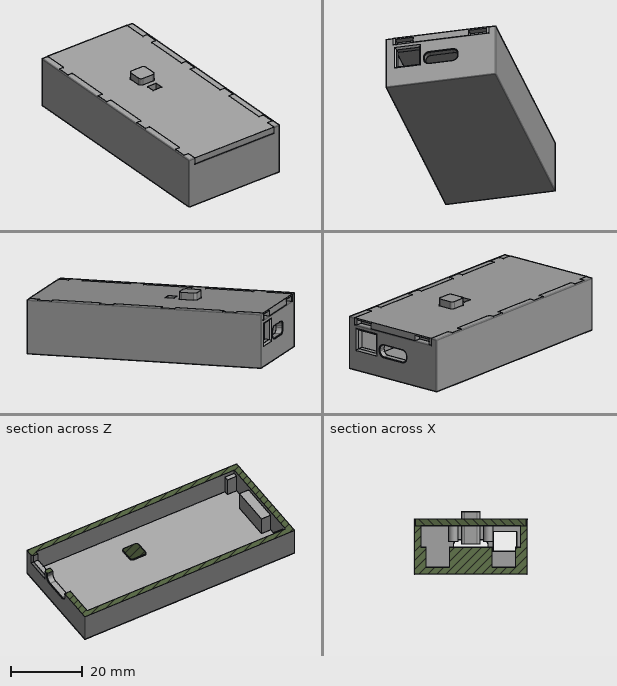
import cadquery as cq

case_length = 68.5
case_width = 31.7
case_height = 15.5
wall = 2.0
edge_radius = 0.2
end_x = case_length / 2
cavity_half_x = end_x - wall
cavity_half_y = case_width / 2 - wall

lid_thickness = 2.0
lid_bottom = case_height - lid_thickness

tab_length = 4.0
tab_reach = 1.5
tab_pitch = 18.0
tab_count = 4
first_tab_offset = 9.5
first_tab_x = first_tab_offset - end_x

pocket_inner_y = 8.0
pocket_outer_y = 13.1
pocket_height = 1.55
pocket_depth = wall

window_width = 6.5
window_height = 5.5
window_y = 9.6
window_z = 9.2
window_chamfer = 0.55

slot_length = 9.6
slot_height = 3.5
slot_z = 7.9
slot_corner = 1.5
slot_chamfer = 0.2

support_top = 7.6
support_length = 3.0
centre_support_width = 12.0
corner_support_width = 1.35

button_x = -8.6
button_size = 5.2
button_corner = 0.85
button_bottom = 8.4
button_top = 17.5
button_clearance = 0.15

light_x = -3.05
light_y = 0.15
light_length = 2.6
light_width = 3.05

post_x = 0.0
post_y = 4.87
post_radius = 1.35
post_bottom = 9.1


def box(x_range, y_range, z_range):
    """Axis-aligned block given by its limits along each axis."""
    limits = (x_range, y_range, z_range)
    sizes = [high - low for low, high in limits]
    lowest_corner = cq.Vector(*[low for low, high in limits])
    return cq.Workplane(cq.Solid.makeBox(*sizes, lowest_corner))


def span(centre, size):
    """Limits of a length centred on a position."""
    return (centre - size / 2, centre + size / 2)


def lid_blank():
    """Lid plate with its tabs, before any openings; also the room it takes up in the case."""
    z_range = (lid_bottom, case_height)
    blank = box((-end_x, end_x), (-cavity_half_y, cavity_half_y), z_range)
    tab_tip_y = cavity_half_y + tab_reach
    for index in range(tab_count):
        tab_x = first_tab_x + index * tab_pitch
        blank = blank.union(box(span(tab_x, tab_length), (-tab_tip_y, tab_tip_y), z_range))
    return blank


def button_column(clearance, bottom, top):
    """Square column with rounded corners at the button, grown outwards by a clearance."""
    size = button_size + 2 * clearance
    column = cq.Workplane("XY", origin=(button_x, 0, bottom)).rect(size, size).extrude(top - bottom)
    return column.edges("|Z").fillet(button_corner + clearance)


def end_wall_plane(y, z):
    """Plane on the outer -X face, with its normal pointing into the case."""
    return cq.Workplane(cq.Plane(origin=(-end_x, y, z), xDir=(0, -1, 0), normal=(1, 0, 0)))


def window_outline(growth):
    """Rectangular outline of the window, grown outwards."""
    plane = end_wall_plane(window_y, window_z)
    return plane.rect(window_width + 2 * growth, window_height + 2 * growth)


def slot_outline(growth):
    """Round-cornered outline of the connector slot, grown outwards."""
    outline = cq.Sketch().rect(slot_length + 2 * growth, slot_height + 2 * growth)
    outline = outline.vertices().fillet(slot_corner + growth)
    return end_wall_plane(0, slot_z).placeSketch(outline)


def flared_opening(outline, chamfer):
    """Opening through the end wall that widens at 45 degrees to its outer mouth."""
    passage = outline(0).extrude(wall)
    mouth = outline(chamfer).extrude(chamfer, taper=45)
    return passage.union(mouth)


def case_shell():
    """Rounded outer block with room for the lid and a cavity below it."""
    lid_y_range = (-cavity_half_y, cavity_half_y)
    shell = cq.Workplane("XY").box(case_length, case_width, case_height, centered=(True, True, False))
    shell = shell.edges().fillet(edge_radius)
    shell = shell.cut(box((-end_x, end_x), lid_y_range, (lid_bottom, case_height)))
    for rim_x in (-end_x, end_x):
        rim = cq.selectors.NearestToPointSelector((rim_x, 0, lid_bottom))
        shell = shell.edges(rim).fillet(edge_radius)
    shell = shell.cut(lid_blank())
    return shell.cut(box((-cavity_half_x, cavity_half_x), lid_y_range, (wall, lid_bottom)))


def floor_supports():
    """One wide support in the middle and a narrow one in each +X corner of the cavity."""
    corner_inner_y = cavity_half_y - corner_support_width
    y_ranges = (
        (-cavity_half_y, -corner_inner_y),
        span(0, centre_support_width),
        (corner_inner_y, cavity_half_y),
    )
    x_range = (cavity_half_x - support_length, cavity_half_x)
    return [box(x_range, y_range, (wall, support_top)) for y_range in y_ranges]


def make_case():
    case = case_shell()
    case = case.cut(flared_opening(window_outline, window_chamfer))
    case = case.cut(flared_opening(slot_outline, slot_chamfer))
    for support in floor_supports():
        case = case.union(support)
    return case


def make_lid():
    lid = lid_blank()

    pocket_x_range = (-end_x, -end_x + pocket_depth)
    pocket_z_range = (lid_bottom, lid_bottom + pocket_height)
    for y_range in ((pocket_inner_y, pocket_outer_y), (-pocket_outer_y, -pocket_inner_y)):
        lid = lid.cut(box(pocket_x_range, y_range, pocket_z_range))

    post_plane = cq.Workplane("XY", origin=(post_x, 0, post_bottom))
    posts = post_plane.pushPoints([(0, -post_y), (0, post_y)]).circle(post_radius)
    lid = lid.union(posts.extrude(lid_bottom - post_bottom))

    lid = lid.cut(button_column(button_clearance, lid_bottom, case_height))
    light_opening = box(span(light_x, light_length), span(light_y, light_width), (lid_bottom, case_height))
    return lid.cut(light_opening)


def make_button():
    return button_column(0, button_bottom, button_top)


case = make_case()
lid = make_lid()
button = make_button()
result = cq.Compound.makeCompound([case.val(), lid.val(), button.val()])